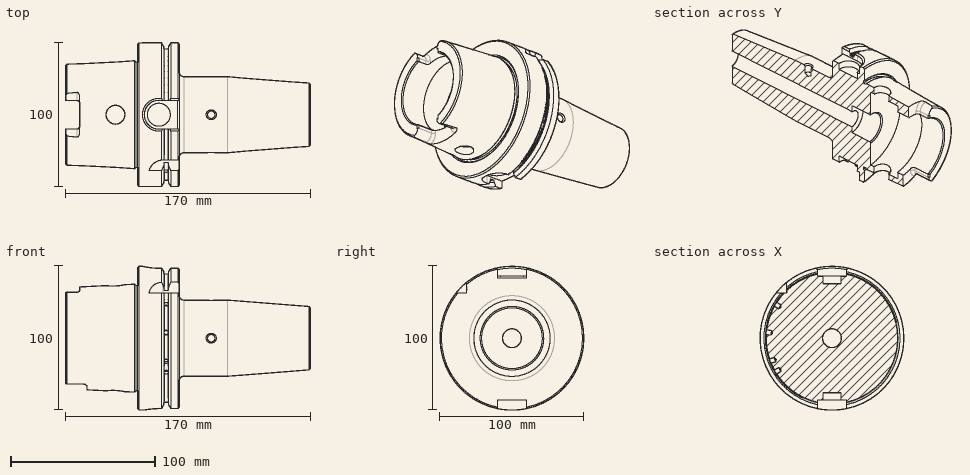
import cadquery as cq
import math

length = 170.0
flange_start = 50.0
flange_end = 79.0
cone_start = 112.5

shank_radius = 37.5
shank_taper = 0.05
shank_end = 48.0
rim_chamfer = 1.0
relief_radius = 36.7
relief_outer_radius = 39.1
relief_depth = 0.8
side_hole_radius = 6.5
side_hole_x = 34.7

bore_radius = 26.2
bore_chamfer = 0.8
bore_step_x = 20.0
chamber_radius = 31.5
bore_floor_x = 44.2
thread_radius = 11.5
thread_depth = 17.0
thread_chamfer = 0.8
through_radius = 6.5

notch_half_width = 9.9
notch_edge_radius = 5.1
notch_edge_z = 26.9
top_notch_depth = 9.9
bottom_notch_depth = 14.8
notch_fillet = 2.0
notch_span = 40.8
notch_lead_in = 1.0
notch_base_z = 17.0

flange_radius = 50.0
flange_chamfer = 1.0
groove_x = 69.9
groove_mouth_width = 6.5
groove_floor_width = 3.2
groove_radius = 45.7
groove_fillet = 0.5
groove_flank_radius = 47.3

slot_x = 64.8
slot_radius = 10.0
slot_floor_z = 43.0
slot_edge_chamfer = 1.4
slot_floor_chamfer = 1.2
pocket_radius = 8.0
pocket_depth = 5.1

corner_offset = 31.5
corner_x = 67.7

balance_hole_radius = 1.5
balance_hole_depth = 3.4
balance_hole_angles = (31.0, 5.1, -20.5, -31.0)

nose_radius = 26.5
nose_tip_radius = 22.1
nose_fillet = 3.0
nose_chamfer = 1.0
screw_x = 101.2
screw_angles = (0.0, 90.0)
screw_radius = 2.5
screw_mouth_radius = 3.5
screw_depth = 6.8

drill_point_angle = 118.0
overcut = 1.7
pick_margin = 0.2


def revolve_about_x(sketch):
    return sketch.close().revolve(360, (0, 0, 0), (1, 0, 0))


def radial_direction(angle):
    """Unit vector across the axis: angle 0 points to -Y, 90 to +Z."""
    return cq.Vector(0, -math.cos(math.radians(angle)), math.sin(math.radians(angle)))


def radial_cylinder(radius, x, bottom, top, angle):
    direction = radial_direction(angle)
    start = cq.Vector(x, 0, 0) + direction * bottom
    return cq.Workplane(cq.Solid.makeCylinder(radius, top - bottom, start, direction))


def radial_drill(radius, x, depth, surface_radius, angle):
    """Drilled radial hole with a conical bottom, sunk from the given surface radius."""
    direction = radial_direction(angle)
    floor_radius = surface_radius - depth
    floor = cq.Vector(x, 0, 0) + direction * floor_radius
    point_length = radius / math.tan(math.radians(drill_point_angle / 2))
    hole = radial_cylinder(radius, x, floor_radius, surface_radius + overcut, angle)
    point = cq.Solid.makeCone(radius, 0, point_length, floor, direction * -1)
    return hole.union(cq.Workplane(point))


def screw_hole(angle):
    """Drilled hole with a countersunk mouth."""
    direction = radial_direction(angle)
    sink_depth = screw_mouth_radius - screw_radius
    mouth = cq.Vector(screw_x, 0, 0) + direction * nose_radius
    sink = cq.Solid.makeCone(screw_mouth_radius, screw_radius, sink_depth, mouth, direction * -1)
    hole = radial_drill(screw_radius, screw_x, screw_depth, nose_radius, angle)
    return hole.union(cq.Workplane(sink))


def turned_body():
    rim_radius = shank_radius - shank_taper * (shank_end - rim_chamfer)
    profile = (
        cq.Workplane("XZ")
        .lineTo(0, rim_radius - rim_chamfer)
        .lineTo(rim_chamfer, rim_radius)
        .lineTo(shank_end, shank_radius)
        .lineTo(shank_end + relief_depth, relief_radius)
        .lineTo(flange_start + relief_depth, relief_radius)
        .lineTo(flange_start + relief_depth, relief_outer_radius - relief_depth)
        .lineTo(flange_start, relief_outer_radius)
        .lineTo(flange_start, flange_radius - flange_chamfer)
        .lineTo(flange_start + flange_chamfer, flange_radius)
        .lineTo(flange_end - flange_chamfer, flange_radius)
        .lineTo(flange_end, flange_radius - flange_chamfer)
        .lineTo(flange_end, nose_radius + nose_fillet)
        .radiusArc((flange_end + nose_fillet, nose_radius), -nose_fillet)
        .lineTo(cone_start, nose_radius)
        .lineTo(length - nose_chamfer, nose_tip_radius)
        .lineTo(length, nose_tip_radius - nose_chamfer)
        .lineTo(length, 0)
    )
    return revolve_about_x(profile)


def inner_bore():
    thread_end = bore_floor_x + thread_depth
    profile = (
        cq.Workplane("XZ")
        .lineTo(0, bore_radius + bore_chamfer)
        .lineTo(bore_chamfer, bore_radius)
        .lineTo(bore_step_x, bore_radius)
        .lineTo(bore_step_x, chamber_radius)
        .lineTo(bore_floor_x, chamber_radius)
        .lineTo(bore_floor_x, thread_radius + thread_chamfer)
        .lineTo(bore_floor_x + thread_chamfer, thread_radius)
        .lineTo(thread_end, thread_radius)
        .lineTo(thread_end, through_radius)
        .lineTo(length, through_radius)
        .lineTo(length, 0)
    )
    return revolve_about_x(profile)


def driving_notch(depth):
    """Notch in the upper rim whose side walls roll outwards over rounded edges."""
    flare = notch_half_width + notch_edge_radius
    shoulder_z = notch_edge_z + notch_edge_radius
    lead_in = (
        cq.Workplane("XY", origin=(0, 0, notch_base_z))
        .moveTo(0, -notch_half_width - notch_lead_in)
        .lineTo(notch_lead_in, -notch_half_width)
        .lineTo(notch_lead_in, notch_half_width)
        .lineTo(0, notch_half_width + notch_lead_in)
        .close()
        .extrude(notch_edge_z - notch_base_z)
    )
    wall_edges = cq.selectors.BoxSelector(
        (0, -flare - overcut, notch_base_z + overcut),
        (depth + overcut, flare + overcut, shoulder_z + overcut),
    )
    notch = (
        cq.Workplane("YZ")
        .moveTo(-notch_half_width, notch_base_z)
        .lineTo(-notch_half_width, notch_edge_z)
        .radiusArc((-flare, shoulder_z), -notch_edge_radius)
        .lineTo(-notch_span / 2, shoulder_z)
        .lineTo(-notch_span / 2, flange_radius)
        .lineTo(notch_span / 2, flange_radius)
        .lineTo(notch_span / 2, shoulder_z)
        .lineTo(flare, shoulder_z)
        .radiusArc((notch_half_width, notch_edge_z), -notch_edge_radius)
        .lineTo(notch_half_width, notch_base_z)
        .close()
        .extrude(depth)
        .faces(">X")
        .edges(wall_edges)
        .fillet(notch_fillet)
    )
    return notch.union(lead_in)


def slot_cutter(x, y, floor_z):
    """Round-ended slot, open towards the nose side of the flange."""
    height = flange_radius - floor_z + overcut
    run = flange_end - x + overcut
    end = cq.Workplane("XY", origin=(x, y, floor_z)).circle(slot_radius).extrude(height)
    straight = (
        cq.Workplane("XY", origin=(x, y - slot_radius, floor_z))
        .rect(run, 2 * slot_radius, centered=False)
        .extrude(height)
    )
    return end.union(straight)


def groove_ring():
    half_mouth = groove_mouth_width / 2
    half_floor = groove_floor_width / 2
    profile = (
        cq.Workplane("XZ")
        .moveTo(groove_x - half_floor + groove_fillet, groove_radius)
        .radiusArc((groove_x - half_floor, groove_radius + groove_fillet), groove_fillet)
        .lineTo(groove_x - half_floor, groove_flank_radius)
        .lineTo(groove_x - half_mouth, flange_radius)
        .lineTo(groove_x - half_mouth, flange_radius + overcut)
        .lineTo(groove_x + half_mouth, flange_radius + overcut)
        .lineTo(groove_x + half_mouth, flange_radius)
        .lineTo(groove_x + half_floor, groove_flank_radius)
        .lineTo(groove_x + half_floor, groove_radius + groove_fillet)
        .radiusArc((groove_x + half_floor - groove_fillet, groove_radius), groove_fillet)
    )
    return revolve_about_x(profile)


def half_turn(shape):
    return shape.rotate((0, 0, 0), (1, 0, 0), 180)


body = turned_body()
slot = slot_cutter(slot_x, 0, slot_floor_z)
body = body.cut(slot).cut(half_turn(slot))

rim_edges = cq.selectors.BoxSelector(
    (slot_x - slot_radius - 1.7, -slot_radius - pick_margin, flange_radius - 2 * flange_chamfer),
    (flange_end - flange_chamfer + pick_margin, slot_radius + pick_margin, flange_radius + pick_margin),
)
body = body.edges(rim_edges).chamfer(slot_edge_chamfer)
floor_edges = cq.selectors.BoxSelector(
    (flange_end - pick_margin, -1.7, slot_floor_z - pick_margin),
    (flange_end + pick_margin, 1.7, slot_floor_z + pick_margin),
)
body = body.edges(floor_edges).chamfer(slot_floor_chamfer)

result = body.cut(groove_ring()).cut(inner_bore())

pocket_floor = slot_floor_z - pocket_depth
for angle in (90, -90):
    result = result.cut(radial_cylinder(pocket_radius, slot_x, pocket_floor, slot_floor_z, angle))
    result = result.cut(radial_cylinder(side_hole_radius, side_hole_x, 0, flange_radius, angle))

result = result.cut(slot_cutter(corner_x, -corner_offset - slot_radius, corner_offset))
result = result.cut(driving_notch(top_notch_depth))
result = result.cut(half_turn(driving_notch(bottom_notch_depth)))

for angle in balance_hole_angles:
    hole = radial_drill(balance_hole_radius, groove_x, balance_hole_depth, groove_radius, angle)
    result = result.cut(hole)
for angle in screw_angles:
    result = result.cut(screw_hole(angle))